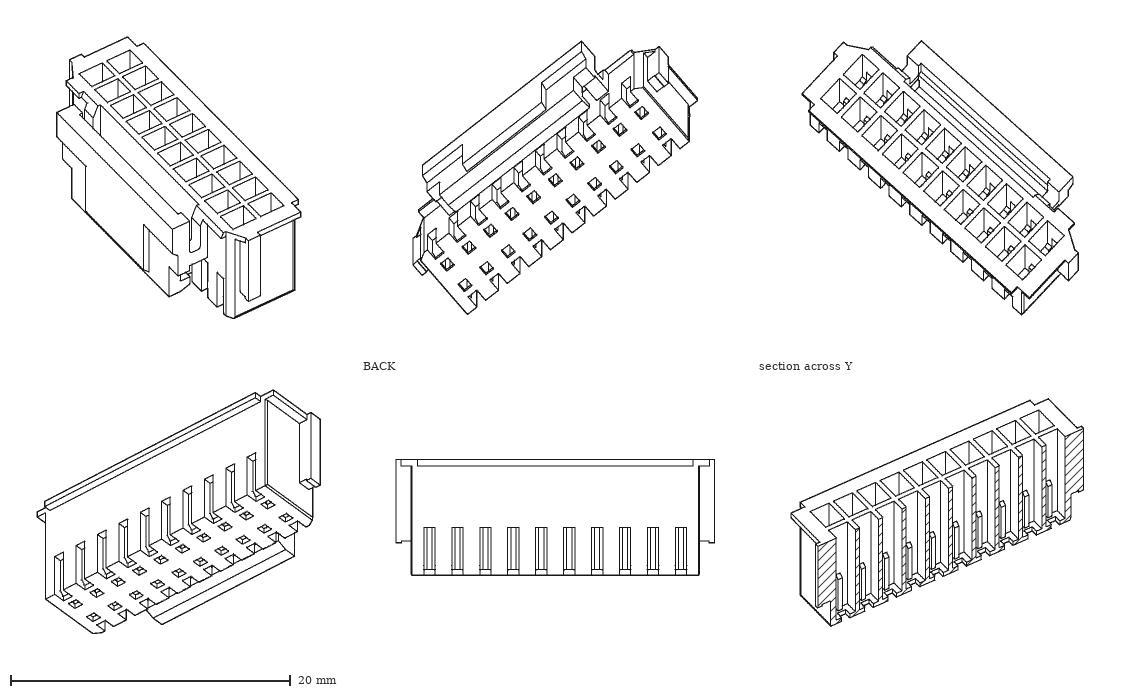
import cadquery as cq

COLUMNS = 10
ROW_LENGTH = 19.6
CELL_WIDTH = 1.62
PITCH = (ROW_LENGTH - CELL_WIDTH) / (COLUMNS - 1)
CELL_DEPTH = 2.0
ROW_SPACING = 2.4
PIN_HOLE = 0.7
TAB_WIDTH = 0.36
TAB_DEPTH = 0.27
WALL_SLOT_WIDTH = 0.8
WALL_SLOT_HEIGHT = 3.42
FLOOR_NOTCH = 0.36
RAMP_DEPTH = 0.3

HEIGHT = 8.3
BODY_WIDTH = 20.65
BODY_DEPTH = 5.59
FLOOR = 0.4
CORNER_X = 0.62
CORNER_Y = 0.36
EDGE_X = 0.07
EDGE_Y = 0.2
ROW_CENTER = 2.75
FRONT_ROW_Y = ROW_CENTER - ROW_SPACING / 2
BACK_ROW_Y = ROW_CENTER + ROW_SPACING / 2

FLANGE_THICKNESS = 0.48
FLANGE_BOTTOM = HEIGHT - FLANGE_THICKNESS
FLANGE_WIDTH = 22.07
FLANGE_BACK = 6.18
FLANGE_BACK_WIDTH = 19.7
LIP_FRONT = -0.62
LIP_HALF_WIDTH = BODY_WIDTH / 2 - CORNER_X
LIP_BLOCK_END = -8.1
SLOPE_TOP_Y = -0.2
SLOPE_BOTTOM_Z = 7.32

OVERALL_WIDTH = 22.8
RIB_FRONT = 0.8
RIB_BACK = 1.85
RIB_BOTTOM = 2.33
RIB_STEP = 0.14
RIB_STEP_WIDTH = 0.4

LEVER_WIDTH = 14.73
LEVER_BACK = -1.53
LEVER_FRONT = -3.03
ARM_INNER_WIDTH = 12.55
ARM_BOTTOM = 3.92
GAP_BOTTOM = 5.13
GAP_RADIUS = 0.23
FOOT_WIDTH = 12.4
FOOT_BOTTOM = 0.48
FOOT_TOP = 3.45
HOOK_BACK = -0.7
HOOK_TOP = 1.5
HOOK_BOTTOM = 0.8
PAD_WIDTH = 7.35
PAD_THICKNESS = 0.5
PAD_BOTTOM = 0.95
PAD_SHOULDER = 5.4
RECESS_DEPTH = 0.27
RECESS_BOTTOM = 5.47


def box(x0, x1, y0, y1, z0, z1):
    """Box between opposite corners."""
    return cq.Workplane("XY").box(x1 - x0, y1 - y0, z1 - z0, centered=False).translate((x0, y0, z0))


def side_prism(points, width, x_center=0):
    """Extrude a closed (Y, Z) outline along X, centred on x_center."""
    prism = cq.Workplane("YZ").polyline(points).close().extrude(width / 2, both=True)
    return prism.translate((x_center, 0, 0))


def make_body():
    half = BODY_WIDTH / 2
    outline = [
        (-half, CORNER_Y),
        (-half + CORNER_X, 0),
        (half - CORNER_X, 0),
        (half, CORNER_Y),
        (half, BODY_DEPTH - EDGE_Y),
        (half - EDGE_X, BODY_DEPTH),
        (-half + EDGE_X, BODY_DEPTH),
        (-half, BODY_DEPTH - EDGE_Y),
    ]
    body = cq.Workplane("XY").polyline(outline).close().extrude(HEIGHT)
    profile = [
        (-half + EDGE_X, 0),
        (half - EDGE_X, 0),
        (half, EDGE_Y),
        (half, HEIGHT),
        (-half, HEIGHT),
        (-half, EDGE_Y),
    ]
    bevel = cq.Workplane("XZ").polyline(profile).close().extrude(-BODY_DEPTH)
    return body.intersect(bevel)


def make_flange():
    half = FLANGE_WIDTH / 2
    corner_slope = CORNER_Y / CORNER_X
    side_front = (half - LIP_HALF_WIDTH) * corner_slope
    back_half = FLANGE_BACK_WIDTH / 2
    outline = [
        (-LIP_HALF_WIDTH, 0),
        (LIP_HALF_WIDTH, 0),
        (half, side_front),
        (half, BODY_DEPTH),
        (back_half, BODY_DEPTH),
        (back_half, FLANGE_BACK),
        (-back_half, FLANGE_BACK),
        (-back_half, BODY_DEPTH),
        (-half, BODY_DEPTH),
        (-half, side_front),
    ]
    plate = cq.Workplane("XY").workplane(offset=FLANGE_BOTTOM).polyline(outline).close()
    flange = plate.extrude(FLANGE_THICKNESS)
    lip = box(-LIP_HALF_WIDTH, LIP_BLOCK_END, LIP_FRONT, 0, FLANGE_BOTTOM, HEIGHT)
    slope = (LIP_FRONT - SLOPE_TOP_Y) / (HEIGHT - SLOPE_BOTTOM_Z)
    slope_at_bottom = SLOPE_TOP_Y + slope * FLANGE_THICKNESS
    wedge = [(0, HEIGHT), (SLOPE_TOP_Y, HEIGHT), (slope_at_bottom, FLANGE_BOTTOM), (0, FLANGE_BOTTOM)]
    sloped_lip = side_prism(wedge, LIP_HALF_WIDTH - LIP_BLOCK_END, (LIP_BLOCK_END + LIP_HALF_WIDTH) / 2)
    opening = ARM_INNER_WIDTH / 2
    sloped_lip = sloped_lip.cut(box(-opening, opening, LIP_FRONT, 0, FLANGE_BOTTOM, HEIGHT))
    return flange.union(lip).union(sloped_lip)


def make_rib(side):
    """End rib on the -X (side = -1) or +X (side = 1) face."""
    outer = OVERALL_WIDTH / 2
    inner = BODY_WIDTH / 2
    step = outer - RIB_STEP_WIDTH
    profile = [
        (side * inner, HEIGHT),
        (side * outer, HEIGHT),
        (side * outer, RIB_BOTTOM),
        (side * step, RIB_BOTTOM),
        (side * step, RIB_BOTTOM + RIB_STEP),
        (side * inner, RIB_BOTTOM + RIB_STEP),
    ]
    rib = cq.Workplane("XZ").polyline(profile).close().extrude(RIB_FRONT - RIB_BACK)
    return rib.translate((0, RIB_FRONT, 0))


def make_lever():
    plate_front = LEVER_FRONT + PAD_THICKNESS
    upper = [
        (0, HEIGHT),
        (SLOPE_TOP_Y, HEIGHT),
        (LIP_FRONT, SLOPE_BOTTOM_Z),
        (LIP_FRONT, GAP_BOTTOM),
        (LEVER_BACK, GAP_BOTTOM),
        (LEVER_BACK, HEIGHT),
        (LEVER_FRONT, HEIGHT),
        (LEVER_FRONT, PAD_SHOULDER + PAD_THICKNESS),
        (plate_front, PAD_SHOULDER),
        (plate_front, FOOT_TOP),
        (LEVER_BACK, FOOT_TOP),
        (LEVER_BACK, ARM_BOTTOM),
        (0, ARM_BOTTOM),
    ]
    lever = side_prism(upper, LEVER_WIDTH)
    gap_corners = cq.selectors.BoxSelector(
        (-LEVER_WIDTH, LEVER_BACK - GAP_RADIUS, GAP_BOTTOM - GAP_RADIUS),
        (LEVER_WIDTH, LIP_FRONT + GAP_RADIUS, GAP_BOTTOM + GAP_RADIUS),
    )
    lever = lever.edges("|X").edges(gap_corners).fillet(GAP_RADIUS)
    opening = ARM_INNER_WIDTH / 2
    lever = lever.cut(box(-opening, opening, LEVER_BACK, 0, ARM_BOTTOM, HEIGHT))
    recess = [
        (LEVER_BACK, HEIGHT),
        (LEVER_BACK - RECESS_DEPTH, HEIGHT),
        (LEVER_BACK - RECESS_DEPTH, RECESS_BOTTOM),
        (LEVER_BACK, RECESS_BOTTOM - RECESS_DEPTH),
    ]
    lever = lever.cut(side_prism(recess, ARM_INNER_WIDTH))
    foot = [
        (plate_front, FOOT_TOP),
        (LEVER_BACK, FOOT_TOP),
        (LEVER_BACK, HOOK_TOP),
        (HOOK_BACK, HOOK_TOP),
        (HOOK_BACK, HOOK_BOTTOM),
        (LEVER_BACK, FOOT_BOTTOM),
        (plate_front, FOOT_BOTTOM),
    ]
    pad = [
        (plate_front, HEIGHT),
        (LEVER_FRONT, HEIGHT),
        (LEVER_FRONT, PAD_BOTTOM + PAD_THICKNESS),
        (plate_front, PAD_BOTTOM),
    ]
    return lever.union(side_prism(foot, FOOT_WIDTH)).union(side_prism(pad, PAD_WIDTH))


def make_cell():
    """Cavity of one front-row cell, with the cell centre on X = Y = 0."""
    half_width = CELL_WIDTH / 2
    half_depth = CELL_DEPTH / 2
    cavity = box(-half_width, half_width, -half_depth, half_depth, FLOOR, HEIGHT)
    ramp = [(-half_depth, FLOOR), (-half_depth + RAMP_DEPTH, FLOOR), (-half_depth, FLOOR + RAMP_DEPTH)]
    cavity = cavity.cut(side_prism(ramp, CELL_WIDTH))
    tab = [
        (half_depth, FLOOR),
        (half_depth - TAB_DEPTH, FLOOR),
        (half_depth - TAB_DEPTH, WALL_SLOT_HEIGHT),
        (half_depth, WALL_SLOT_HEIGHT + TAB_DEPTH),
    ]
    cavity = cavity.cut(side_prism(tab, TAB_WIDTH))
    slot_reach = BODY_DEPTH - BACK_ROW_Y
    half_slot = WALL_SLOT_WIDTH / 2
    slot = box(-half_slot, half_slot, -slot_reach, -half_depth + FLOOR_NOTCH, 0, WALL_SLOT_HEIGHT)
    pin_offset = (ROW_SPACING - PITCH) / 2
    pin_hole = cq.Workplane("XY").center(0, pin_offset).rect(PIN_HOLE, PIN_HOLE).extrude(FLOOR)
    return cavity.union(slot).union(pin_hole)


result = make_body().union(make_flange()).union(make_lever())
for side in (-1, 1):
    result = result.union(make_rib(side))

front_cell = make_cell()
back_cell = front_cell.mirror("XZ")
for column in range(COLUMNS):
    x = (column - (COLUMNS - 1) / 2) * PITCH
    result = result.cut(front_cell.translate((x, FRONT_ROW_Y, 0)))
    result = result.cut(back_cell.translate((x, BACK_ROW_Y, 0)))